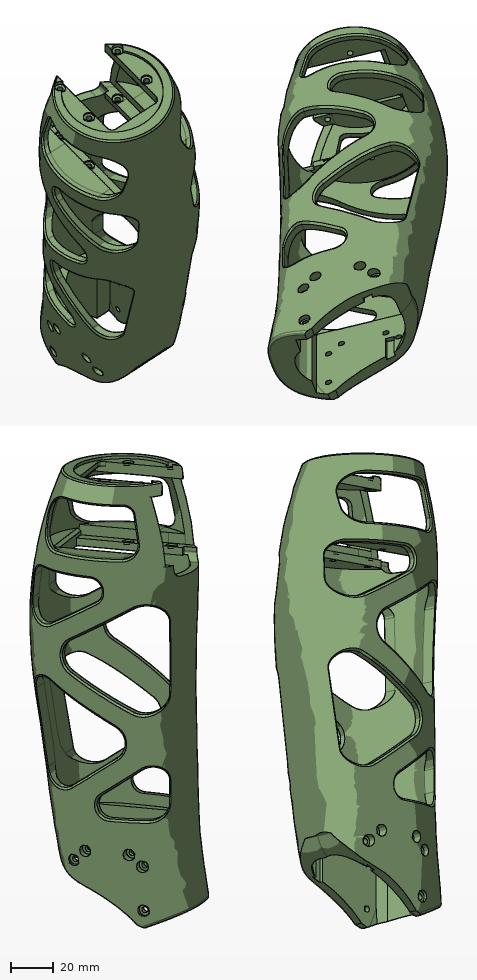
import cadquery as cq
import math

HEIGHT = 218.47
LOWER_WALL = 4.0
UPPER_WALL = 3.2
TOP_CHAMFER = 0.7
FAR = 100.0

SECTIONS = [
    (-6.0, -40.2, 21.5, 21.5, 2.6, 3.5),
    (9.5, -40.4, 24.5, 22.6, 2.6, 3.5),
    (31.6, -36.8, 29.2, 24.9, 2.6, 3.5),
    (54.0, -35.0, 33.3, 26.6, 2.5, 3.2),
    (84.3, -34.4, 37.6, 29.6, 2.3, 2.8),
    (117.2, -34.4, 43.0, 33.0, 2.0, 2.4),
    (152.8, -35.0, 45.08, 35.43, 2.0, 2.1),
    (180.5, -34.9, 41.7, 35.3, 2.0, 2.0),
    (200.0, -31.6, 36.6, 33.1, 2.0, 2.0),
    (HEIGHT, -27.8, 29.7, 28.7, 2.0, 2.0),
]
SECTION_POINTS = 16

RECESS_RADIUS = 24.1
RECESS_DEPTH = 1.4
TOP_PLATE_BOTTOM = 212.0
SERVO_HALF_WIDTH = 14.8
SERVO_BACK_X = 17.6
SERVO_CORNER_RADIUS = 3.0
SERVO_BACK_FLARE = 2.9
FLOOR_TOP = 183.4
RAIL_TOP = 178.3
RAIL_BOTTOM = 174.5
RAIL_BACK_X = 29.0
BACK_BAR_TOP = 181.7
BACK_BAR_CHAMFER = 1.5
PLATE_HOLE_XS = (-17.7, 4.15)
PLATE_HOLE_Y = 17.5
PLATE_HOLE_DIAMETER = 2.7
PLATE_COUNTERBORE_DIAMETER = 5.3
PLATE_COUNTERBORE_DEPTH = 1.0

FRONT_WINDOW_HALF_WIDTH = 20.8
FRONT_WINDOW_BACK_X = -15.0
NOTCH_HALF_WIDTH = 16.9
NOTCH_BOTTOM = 172.3
NOTCH_CORNER_RADIUS = 4.0
NOTCH_BACK_X = -24.0

WINDOW_CHAMFER = 1.0
WINDOW_ZONE = (45.0, 215.0)
SIDE_WINDOWS = [
    [(-13.2, 208.4, 5.0), (32.2, 208.4, 11.5), (32.2, 183.4, 8.0), (-17.8, 183.4, 6.5)],
    [(-18.3, 173.6, 6.3), (39.2, 173.6, 7.0), (40.9, 140.0, 9.0)],
    [(-28.9, 166.8, 9.3), (29.3, 134.1, 9.3), (-28.2, 99.0, 9.3)],
    [(-17.9, 92.8, 9.3), (40.7, 127.6, 7.3), (29.4, 59.9, 9.3)],
    [(-28.6, 86.5, 7.0), (18.7, 53.6, 6.4), (-28.6, 53.6, 8.2)],
]

LIP_FRONT = (-39.8, 9.5)
LIP_TIP = (-17.4, 0.0)
LIP_MIDDLE = ((LIP_FRONT[0] + LIP_TIP[0]) / 2, 0, (LIP_FRONT[1] + LIP_TIP[1]) / 2)
LIP_ROUND = 1.5
HEEL_CURVE = [(-13.6, 1.6), (-6.9, 7.8), (0.9, 13.1), (7.6, 16.7), (19.8, 22.3), (25.4, 27.3), (29.6, 35.0)]
POCKET_HALF_WIDTH = 17.2
POCKET_FRONT_X = -23.0
POCKET_BAY_FRONT_X = -28.0
POCKET_BAY_RADIUS = 11.0
POCKET_TOP = 48.0
GROOVE_CENTRE_X = 13.2
GROOVE_WIDTH = 4.2
GROOVE_DEPTH = 2.0
GROOVE_TOP = 32.0
PITCH_LONG = 34.7
PITCH_SHORT = 22.0
JOINT_X = 0.2
JOINT_UPPER_ROW_Z = 36.5
JOINT_MIDDLE_ROW_Z = 31.0
JOINT_LOWER_ROW_Z = JOINT_MIDDLE_ROW_Z - PITCH_SHORT
JOINT_HOLE_DIAMETER = 3.0
JOINT_COUNTERBORE_DIAMETER = 5.6
JOINT_SEAT_THICKNESS = 3.0


def section_wire(z, front, back, half_width, front_exponent, back_exponent):
    """Closed smooth outline at height z, starting at the back on Y = 0."""
    centre_x = (front + back) / 2
    half_length = (back - front) / 2
    points = []
    for i in range(SECTION_POINTS):
        angle = 2 * math.pi * i / SECTION_POINTS
        along = math.cos(angle)
        across = math.sin(angle)
        exponent = back_exponent if along > 0 else front_exponent
        reach = (abs(along) ** exponent + abs(across) ** exponent) ** (-1 / exponent)
        points.append(cq.Vector(centre_x + half_length * reach * along, half_width * reach * across, z))
    parameters = range(SECTION_POINTS + 1)
    outline = cq.Edge.makeSpline(points, periodic=True, parameters=parameters)
    return cq.Wire.assembleEdges([outline])


def cut_all(body, tools):
    """Remove several tools in one operation."""
    return cq.Workplane(body.val().cut(*[tool.val() for tool in tools]))


def lofted_body(offset):
    """Loft the sections after moving each outline inwards by the offset."""
    wires = []
    for z, front, back, half_width, front_exponent, back_exponent in SECTIONS:
        wires.append(
            section_wire(
                z, front + offset, back - offset, half_width - offset, front_exponent, back_exponent
            )
        )
    return cq.Workplane(cq.Solid.makeLoft(wires))


def block(x0, x1, half_width, z0, z1):
    """Box centred on Y = 0."""
    return cq.Workplane().box(x1 - x0, 2 * half_width, z1 - z0).translate(((x0 + x1) / 2, 0, (z0 + z1) / 2))


def rounded_polygon_points(corners):
    """For each corner give the arc start, arc middle and arc end."""
    arcs = []
    count = len(corners)
    for i, (x, z, radius) in enumerate(corners):
        corner = cq.Vector(x, z)
        before = cq.Vector(*corners[i - 1][:2])
        after = cq.Vector(*corners[(i + 1) % count][:2])
        to_before = (before - corner).normalized()
        to_after = (after - corner).normalized()
        half_angle = to_before.getAngle(to_after) / 2
        tangent_length = radius / math.tan(half_angle)
        middle_length = radius / math.sin(half_angle) - radius
        bisector = (to_before + to_after).normalized()
        start = corner + to_before * tangent_length
        middle = corner + bisector * middle_length
        end = corner + to_after * tangent_length
        arcs.append([(p.x, p.y) for p in (start, middle, end)])
    return arcs


def side_window(corners):
    """Prism along Y with rounded corners."""
    arcs = rounded_polygon_points(corners)
    last_arc_end = arcs[-1][2]
    sketch = cq.Workplane("XZ").moveTo(*last_arc_end)
    for start, middle, end in arcs:
        sketch = sketch.lineTo(*start).threePointArc(middle, end)
    return sketch.close().extrude(FAR, both=True)


def joint_end_envelope():
    """Everything above the slanted lip and the curved heel."""
    slope = (LIP_TIP[1] - LIP_FRONT[1]) / (LIP_TIP[0] - LIP_FRONT[0])
    front_z = LIP_TIP[1] + slope * (-FAR - LIP_TIP[0])
    return (
        cq.Workplane("XZ")
        .moveTo(-FAR, front_z)
        .lineTo(*LIP_TIP)
        .lineTo(*HEEL_CURVE[0])
        .spline(HEEL_CURVE[1:], includeCurrent=True)
        .lineTo(FAR, HEEL_CURVE[-1][1] + FAR)
        .lineTo(FAR, 3 * FAR)
        .lineTo(-FAR, 3 * FAR)
        .close()
        .extrude(FAR, both=True)
    )


def outer_body():
    """Solid outer form with a rounded lip, a chamfered top rim and the side windows."""
    body = lofted_body(0).intersect(joint_end_envelope())
    lip_face = body.faces(cq.selectors.NearestToPointSelector(LIP_MIDDLE))
    body = lip_face.edges("not(|Y)").fillet(LIP_ROUND)
    body = body.faces(">Z").edges().chamfer(TOP_CHAMFER)
    return cut_all(body, [side_window(corners) for corners in SIDE_WINDOWS])


def is_window_rim(edge):
    """True for curved edges in the window zone, away from the skin's seam on Y = 0."""
    box = edge.BoundingBox()
    inside_window_zone = box.zmin > WINDOW_ZONE[0] and box.zmax < WINDOW_ZONE[1]
    off_seam = abs(edge.Center().y) > LOWER_WALL
    return inside_window_zone and off_seam and edge.geomType() != "LINE"


def chamfered_windows(body):
    """Break the outer rim of every side window."""
    rims = [edge for edge in body.edges().vals() if is_window_rim(edge)]
    return body.newObject(rims).chamfer(WINDOW_CHAMFER)


def hollow_space():
    """The space inside the wall, shaped by the joint cheeks, servo rails and top plate."""
    tube = block(-FAR, FAR, FAR, POCKET_TOP, RAIL_BOTTOM)
    bay = (
        cq.Workplane(origin=(POCKET_BAY_FRONT_X + POCKET_BAY_RADIUS, 0, -FAR))
        .circle(POCKET_BAY_RADIUS)
        .extrude(FAR + POCKET_TOP)
    )
    joint = block(POCKET_FRONT_X, FAR, POCKET_HALF_WIDTH, -FAR, POCKET_TOP).union(bay)
    lower = lofted_body(LOWER_WALL).intersect(tube.union(joint))

    chamber = block(-FAR, FAR, FAR, FLOOR_TOP, TOP_PLATE_BOTTOM)
    seat = block(-FAR, RAIL_BACK_X, FRONT_WINDOW_HALF_WIDTH, RAIL_TOP, FLOOR_TOP)
    rail_gap = block(-FAR, RAIL_BACK_X, SERVO_HALF_WIDTH, RAIL_BOTTOM, RAIL_TOP)
    above_bar = (
        cq.Workplane("XZ")
        .moveTo(RAIL_BACK_X, FLOOR_TOP)
        .lineTo(RAIL_BACK_X, BACK_BAR_TOP - BACK_BAR_CHAMFER)
        .lineTo(RAIL_BACK_X + BACK_BAR_CHAMFER, BACK_BAR_TOP)
        .lineTo(FAR, BACK_BAR_TOP)
        .lineTo(FAR, FLOOR_TOP)
        .close()
        .extrude(FRONT_WINDOW_HALF_WIDTH, both=True)
    )
    upper_shape = chamber.union(seat).union(rail_gap).union(above_bar)
    upper = lofted_body(UPPER_WALL).intersect(upper_shape)
    return [lower, upper]


def servo_opening():
    """Slot in the top plate, open to the front, flared underneath at the back."""
    slot = block(-FAR, SERVO_BACK_X, SERVO_HALF_WIDTH, TOP_PLATE_BOTTOM, HEIGHT)
    slot = slot.edges("|Z and >X").fillet(SERVO_CORNER_RADIUS)
    flare = (
        cq.Workplane("XZ")
        .moveTo(0, TOP_PLATE_BOTTOM)
        .lineTo(SERVO_BACK_X + SERVO_BACK_FLARE, TOP_PLATE_BOTTOM)
        .lineTo(SERVO_BACK_X, TOP_PLATE_BOTTOM + SERVO_BACK_FLARE)
        .lineTo(0, TOP_PLATE_BOTTOM + SERVO_BACK_FLARE)
        .close()
        .extrude(SERVO_HALF_WIDTH, both=True)
    )
    return slot.union(flare)


def top_recess():
    return cq.Workplane(origin=(0, 0, HEIGHT - RECESS_DEPTH)).circle(RECESS_RADIUS).extrude(RECESS_DEPTH)


def front_openings():
    """Window between plate and rails, with a notch above it and a rounded one below."""
    window = block(
        -FAR, FRONT_WINDOW_BACK_X, FRONT_WINDOW_HALF_WIDTH, RAIL_TOP, TOP_PLATE_BOTTOM
    )
    upper_notch = block(-FAR, NOTCH_BACK_X, NOTCH_HALF_WIDTH, TOP_PLATE_BOTTOM, HEIGHT)
    lower_notch = block(-FAR, NOTCH_BACK_X, NOTCH_HALF_WIDTH, NOTCH_BOTTOM, RAIL_TOP)
    lower_notch = lower_notch.edges("|X and <Z").fillet(NOTCH_CORNER_RADIUS)
    return [window, upper_notch, lower_notch]


def plate_holes(bottom_z, seat_z, top_z):
    """Screw holes beside the servo opening, counterbored from seat_z up to top_z."""
    points = [(x, side * PLATE_HOLE_Y) for x in PLATE_HOLE_XS for side in (-1, 1)]
    holes = (
        cq.Workplane(origin=(0, 0, bottom_z))
        .pushPoints(points)
        .circle(PLATE_HOLE_DIAMETER / 2)
        .extrude(seat_z - bottom_z)
    )
    counterbores = (
        cq.Workplane(origin=(0, 0, seat_z))
        .pushPoints(points)
        .circle(PLATE_COUNTERBORE_DIAMETER / 2)
        .extrude(top_z - seat_z)
    )
    return holes.union(counterbores)


def cheek_grooves():
    """Upright groove in the inner face of both joint cheeks."""
    half = GROOVE_WIDTH / 2
    return block(
        GROOVE_CENTRE_X - half, GROOVE_CENTRE_X + half, POCKET_HALF_WIDTH + GROOVE_DEPTH, 0, GROOVE_TOP
    )


def joint_holes():
    """Counterbored holes through both cheeks of the joint."""
    points = [(JOINT_X + side * PITCH_SHORT / 2, JOINT_UPPER_ROW_Z) for side in (-1, 1)]
    points += [(JOINT_X + side * PITCH_LONG / 2, JOINT_MIDDLE_ROW_Z) for side in (-1, 1)]
    points.append((JOINT_X - PITCH_LONG / 2, JOINT_LOWER_ROW_Z))
    holes = cq.Workplane("XZ").pushPoints(points).circle(JOINT_HOLE_DIAMETER / 2).extrude(FAR, both=True)
    seat_y = POCKET_HALF_WIDTH + JOINT_SEAT_THICKNESS
    for side in (-1, 1):
        counterbores = (
            cq.Workplane("XZ", origin=(0, side * seat_y, 0))
            .pushPoints(points)
            .circle(JOINT_COUNTERBORE_DIAMETER / 2)
            .extrude(-side * FAR)
        )
        holes = holes.union(counterbores)
    return holes


top_seat_z = HEIGHT - RECESS_DEPTH - PLATE_COUNTERBORE_DEPTH
rail_seat_z = RAIL_TOP - PLATE_COUNTERBORE_DEPTH

body = chamfered_windows(outer_body())
body = cut_all(body, hollow_space())
body = cut_all(body, [servo_opening(), top_recess(), cheek_grooves(), joint_holes()] + front_openings())
body = cut_all(
    body,
    [plate_holes(TOP_PLATE_BOTTOM, top_seat_z, HEIGHT), plate_holes(RAIL_BOTTOM, rail_seat_z, RAIL_TOP)],
)
result = cq.Workplane(body.solids().val())